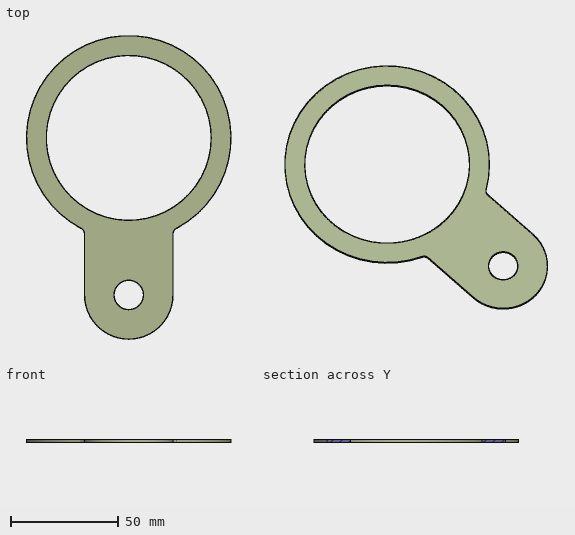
import cadquery as cq

overall_length = 141.2
thickness = 1.5

ring_diameter = 95.2
ring_bore = 76.5

tab_width = 41.2
tab_hole_diameter = 13.5
neck_fillet = 2.8

tab_end_radius = tab_width / 2
tab_hole_y = ring_diameter / 2 + tab_end_radius - overall_length


def disc(diameter, y=0):
    """Flat disc of the plate thickness, centred on the Y axis."""
    return cq.Workplane("XY").center(0, y).circle(diameter / 2).extrude(thickness)


tab = (
    cq.Workplane("XY")
    .center(0, tab_hole_y / 2)
    .rect(tab_width, -tab_hole_y)
    .extrude(thickness)
)
plate = disc(ring_diameter).union(tab).union(disc(tab_width, tab_hole_y))

neck_y = -((ring_diameter / 2) ** 2 - (tab_width / 2) ** 2) ** 0.5
for neck_x in (-tab_width / 2, tab_width / 2):
    neck_edge = cq.selectors.NearestToPointSelector((neck_x, neck_y, thickness / 2))
    plate = plate.edges("|Z").edges(neck_edge).fillet(neck_fillet)

result = plate.cut(disc(ring_bore)).cut(disc(tab_hole_diameter, tab_hole_y))